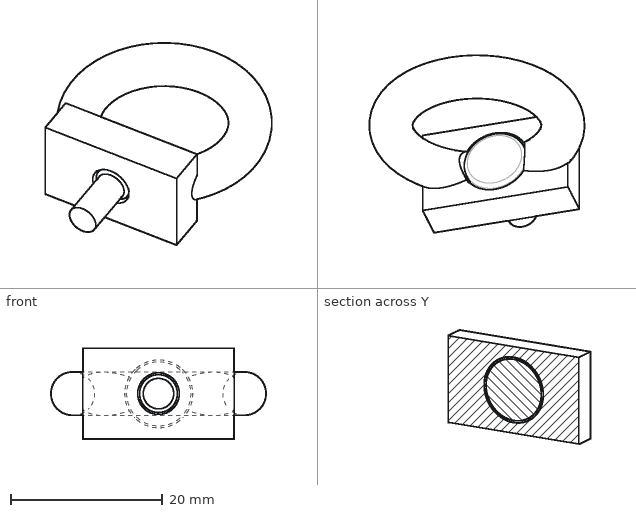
import cadquery as cq


RING_OUTER_DIAMETER = 28.5
RING_TUBE_DIAMETER = 5.75
BASE_WIDTH = 20.0
BASE_THICKNESS = 5.47
BASE_HEIGHT = 12.0
SHANK_HOLE_DIAMETER = 5.5
HEAD_POCKET_DIAMETER = 9.0

OVERALL_LENGTH = 35.98
THREAD_DIAMETER = 4.03
THREAD_LENGTH = 7.52
SHANK_DIAMETER = 5.0
HEAD_DIAMETER = 8.5
HEAD_THICKNESS = 3.0
HEAD_PROTRUSION = 0.5
HEAD_ROUNDING = 0.5

SCREW_TIP_Y = RING_OUTER_DIAMETER / 2 - OVERALL_LENGTH
BASE_FRONT_Y = SCREW_TIP_Y + THREAD_LENGTH
BASE_BACK_Y = BASE_FRONT_Y + BASE_THICKNESS
HEAD_TOP_Y = BASE_BACK_Y + HEAD_PROTRUSION
HEAD_SEAT_Y = HEAD_TOP_Y - HEAD_THICKNESS
TAPER_LENGTH = (SHANK_DIAMETER - THREAD_DIAMETER) / 2


def cylinder_along_y(diameter, start_y, end_y):
    """Cylinder on the screw axis between two Y positions."""
    return cq.Workplane(
        cq.Solid.makeCylinder(
            diameter / 2, end_y - start_y, cq.Vector(0, start_y, 0), cq.Vector(0, 1, 0)
        )
    )


def make_ring():
    tube_radius = RING_TUBE_DIAMETER / 2
    torus = cq.Solid.makeTorus(RING_OUTER_DIAMETER / 2 - tube_radius, tube_radius)
    return cq.Workplane(torus.rotate(cq.Vector(0, 0, 0), cq.Vector(0, 0, 1), -90))


def make_base():
    return cq.Workplane("XY").box(BASE_WIDTH, BASE_THICKNESS, BASE_HEIGHT).translate(
        (0, BASE_FRONT_Y + BASE_THICKNESS / 2, 0)
    )


def make_eye():
    """Ring and base in one piece, bored for the screw shank and head."""
    shank_hole = cylinder_along_y(SHANK_HOLE_DIAMETER, SCREW_TIP_Y, HEAD_SEAT_Y)
    head_pocket = cylinder_along_y(HEAD_POCKET_DIAMETER, HEAD_SEAT_Y, 0)
    return make_base().union(make_ring()).cut(shank_hole).cut(head_pocket)


def make_screw():
    """Head, shank and thinner threaded end, revolved about the Y axis."""
    thread_radius = THREAD_DIAMETER / 2
    shank_radius = SHANK_DIAMETER / 2
    head_radius = HEAD_DIAMETER / 2
    return (
        cq.Workplane("XY")
        .moveTo(0, SCREW_TIP_Y)
        .lineTo(thread_radius, SCREW_TIP_Y)
        .lineTo(thread_radius, BASE_FRONT_Y)
        .lineTo(shank_radius, BASE_FRONT_Y + TAPER_LENGTH)
        .lineTo(shank_radius, HEAD_SEAT_Y)
        .lineTo(head_radius, HEAD_SEAT_Y)
        .lineTo(head_radius, HEAD_TOP_Y - HEAD_ROUNDING)
        .radiusArc((head_radius - HEAD_ROUNDING, HEAD_TOP_Y), -HEAD_ROUNDING)
        .lineTo(0, HEAD_TOP_Y)
        .close()
        .revolve(360, (0, 0, 0), (0, 1, 0))
    )


eye = make_eye()
screw = make_screw()

result = cq.Compound.makeCompound([eye.solids().val(), screw.val()])